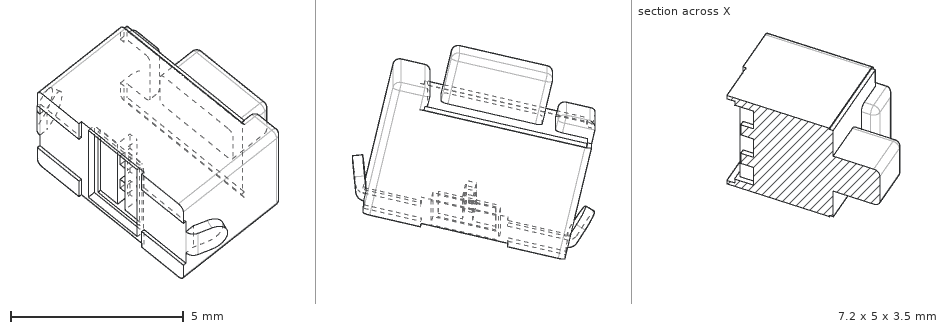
import cadquery as cq
import math


total_length = 7.2
body_length = 6.005
body_width = 3.5
post_top = 3.995
button_top = 5.0
edge_radius = 0.2

body_top = 3.38
cover_top = 3.5
cover_end_inset = 0.15
cover_side_inset = 0.04

post_length = 1.1
narrow_post_width = 2.1

button_length = 3.0
button_width = 1.4

foot_height = 0.1
foot_length = 1.71
foot_width = 0.75

window_length = 2.01
window_width = 3.2
window_depth = 0.245
window_ledge = 0.15
inner_depth = 0.1
slot_length = 0.295
slot_depth = 0.5
bar_width = 0.42
bar_offset = 0.56
bar_setback = 0.1

terminal_width = 1.015
terminal_thickness = 0.3
terminal_lean = math.radians(19)


def block(x_range, y_range, width):
    """Box between two X values and two Y values, centred in Z."""
    length = x_range[1] - x_range[0]
    height = y_range[1] - y_range[0]
    corner = (x_range[0], y_range[0], -width / 2)
    return cq.Workplane("XY").box(length, height, width, centered=False).translate(corner)


def centred_block(length, y_range, width):
    """Box between two Y values, centred in X and Z."""
    return block((-length / 2, length / 2), y_range, width)


half_length = body_length / 2


def make_housing():
    housing = centred_block(body_length, (0, body_top), body_width).edges("|Y").fillet(edge_radius)
    lengthwise = centred_block(body_length, (0, foot_height), body_width - 2 * foot_width)
    crosswise = centred_block(body_length - 2 * foot_length, (0, foot_height), body_width)
    return housing.cut(lengthwise).cut(crosswise)


def make_cover():
    x_range = (cover_end_inset - half_length, half_length - post_length / 2)
    return block(x_range, (foot_height, cover_top), body_width - 2 * cover_side_inset)


def make_narrow_post():
    x_range = (-half_length, post_length - half_length)
    post = block(x_range, (foot_height, post_top), narrow_post_width)
    return post.edges("|Y and >X").fillet(edge_radius).faces(">Y").edges().fillet(edge_radius)


def make_wide_post():
    x_range = (half_length - post_length, half_length)
    post = block(x_range, (foot_height, post_top), body_width)
    return post.edges("|Y").fillet(edge_radius).faces(">Y").edges().fillet(edge_radius)


def make_button():
    button = centred_block(button_length, (body_top, button_top), button_width)
    return button.edges("|Y").fillet(edge_radius).faces(">Y").edges().fillet(edge_radius)


def make_window():
    """Volume removed behind the contact face."""
    ledge_y = foot_height + window_depth
    inner_y = ledge_y + inner_depth
    slot_y = inner_y + slot_depth
    inner_length = window_length - 2 * window_ledge
    inner_width = window_width - 2 * window_ledge
    window = centred_block(window_length, (foot_height, ledge_y), window_width)
    window = window.union(centred_block(inner_length, (ledge_y, inner_y), inner_width))
    window = window.union(centred_block(slot_length, (inner_y, slot_y), inner_width))
    bar = centred_block(slot_length, (inner_y + bar_setback, slot_y), bar_width)
    for side in (-1, 1):
        window = window.cut(bar.translate((0, 0, side * bar_offset)))
    return window


def make_terminal():
    """Terminal at the -X end: a sharp bend, then a round-ended leg leaning outwards."""
    lean_cos = math.cos(terminal_lean)
    lean_sin = math.sin(terminal_lean)
    hinge_x = -half_length
    hinge_y = foot_height + terminal_thickness

    def on_bend(angle):
        return (
            hinge_x - terminal_thickness * math.cos(angle),
            hinge_y - terminal_thickness * math.sin(angle),
        )

    bend = (
        cq.Workplane("XY")
        .workplane(offset=-terminal_width / 2)
        .moveTo(hinge_x, hinge_y)
        .lineTo(*on_bend(math.pi / 2))
        .threePointArc(on_bend((math.pi / 2 + terminal_lean) / 2), on_bend(terminal_lean))
        .close()
        .extrude(terminal_width)
    )

    overhang = (total_length - body_length) / 2
    leg_length = (overhang - terminal_thickness * lean_cos) / lean_sin
    half_width = terminal_width / 2
    straight = leg_length - half_width
    leg_plane = cq.Plane(
        origin=(hinge_x, hinge_y, 0),
        xDir=(0, 0, 1),
        normal=(-lean_cos, -lean_sin, 0),
    )
    leg = (
        cq.Workplane(leg_plane)
        .moveTo(-half_width, 0)
        .lineTo(half_width, 0)
        .lineTo(half_width, straight)
        .threePointArc((0, leg_length), (-half_width, straight))
        .close()
        .extrude(terminal_thickness)
    )
    return bend.union(leg)


terminal = make_terminal()
result = (
    make_housing()
    .union(make_cover())
    .union(make_narrow_post())
    .union(make_wide_post())
    .union(make_button())
    .cut(make_window())
    .union(terminal)
    .union(terminal.mirror("YZ"))
)